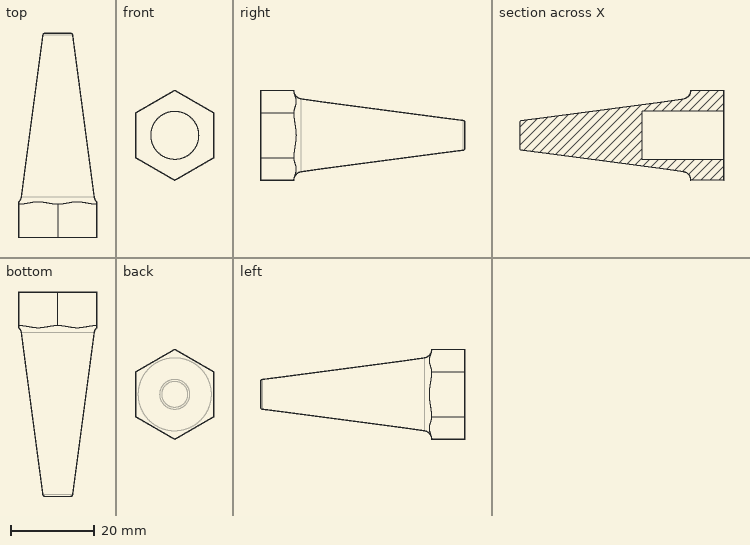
import cadquery as cq
import math

length = 49.0
hex_width = 18.7
hex_length = 8.0
neck_radius = 8.75
tip_radius = 3.6
root_fillet = 2.0
tip_fillet = 0.5
bore_diameter = 11.5
bore_depth = 19.6

hex_corner_radius = hex_width / math.sqrt(3)


def taper_angle():
    """Half angle of the cone, from its tip and its neck close to the hexagon."""
    neck_height = hex_length + root_fillet
    return math.atan((neck_radius - tip_radius) / (length - neck_height))


def hexagonal_prism(height):
    """Prism along +Y with two corners on the Z axis."""
    corners = []
    for index in range(6):
        angle = math.radians(90 + 60 * index)
        corners.append((hex_corner_radius * math.cos(angle), hex_corner_radius * math.sin(angle)))
    return cq.Workplane("XZ").polyline(corners).close().extrude(-height)


def revolved_body():
    """Round envelope: wide base, concave root fillet, cone and rounded tip."""
    angle = taper_angle()
    sine = math.sin(angle)
    cosine = math.cos(angle)
    bisector = math.pi / 4 + angle / 2

    root_center = (neck_radius + root_fillet * cosine, hex_length + root_fillet)
    root_start = (root_center[0], hex_length)
    root_middle = (
        root_center[0] - root_fillet * math.cos(bisector),
        root_center[1] - root_fillet * math.sin(bisector),
    )
    root_end = (neck_radius, root_center[1] - root_fillet * sine)

    tip_center_height = length - tip_fillet
    tip_start_height = tip_center_height + tip_fillet * sine
    tip_start_radius = neck_radius - (tip_start_height - root_end[1]) * math.tan(angle)
    tip_center_radius = tip_start_radius - tip_fillet * cosine
    tip_middle = (
        tip_center_radius + tip_fillet * math.cos(bisector),
        tip_center_height + tip_fillet * math.sin(bisector),
    )

    base_radius = hex_corner_radius + root_fillet
    return (
        cq.Workplane("XY")
        .lineTo(base_radius, 0)
        .lineTo(base_radius, hex_length)
        .lineTo(*root_start)
        .threePointArc(root_middle, root_end)
        .lineTo(tip_start_radius, tip_start_height)
        .threePointArc(tip_middle, (tip_center_radius, length))
        .lineTo(0, length)
        .close()
        .revolve(360, (0, 0, 0), (0, 1, 0))
    )


def blind_bore():
    """Flat-bottomed bore opening through the hexagonal end."""
    return cq.Workplane("XZ").circle(bore_diameter / 2).extrude(-bore_depth)


result = revolved_body().intersect(hexagonal_prism(length)).cut(blind_bore())